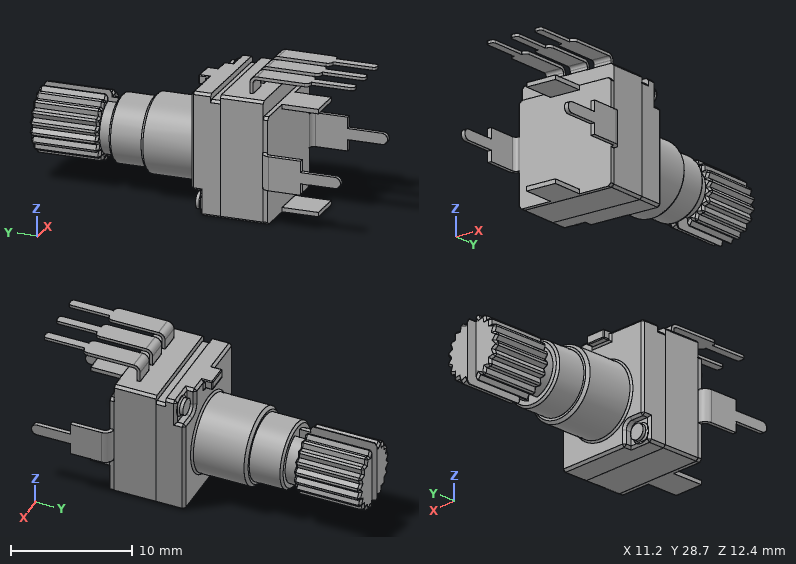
import cadquery as cq
import math


CASE_WIDTH = 9.6
CASE_TOP = 6.0
CASE_BOTTOM = -4.9
CASE_CHAMFER = 0.23
HOUSING_DEPTH = 2.6
CASE_DEPTH = 6.4

GROOVE_START = 1.75
GROOVE_DROP = 0.52

ROOT_FLARE = 0.17
KEY_FLARE_SHARE = 0.99

POCKET_WIDTH = 2.18
POCKET_DEPTH = 0.77
POCKET_CORNER_RADIUS = 0.7
POST_DIAMETER = 1.5
POST_INSET = 1.0
POST_FRONT_DEPTH = 0.3

KEY_WIDTH = 2.0
KEY_THICKNESS = 0.83
KEY_HEIGHT = 0.8
KEY_ROOT = 0.25
KEY_CHAMFER = 0.1

BUSHING_DIAMETER = 6.93
BUSHING_HEIGHT = 5.0
BUSHING_CHAMFER = 0.25

SHAFT_DIAMETER = 6.0
SHAFT_SHOULDER = 8.0
SHAFT_CHAMFER = 0.2
NECK_DIAMETER = 4.78
KNURL_START = 9.0
SHAFT_TIP = 14.98
KNURL_COUNT = 20
KNURL_ROOT_RADIUS = 2.66
TOOTH_LAND_HALF_ANGLE = 2.2
SLOT_WIDTH = 1.0

SHEET = 0.4
BRACKET_TOP = 4.6
BRACKET_CHAMFER = 0.25
LUG_WIDTH = 3.0
LUG_END = 10.0
LEG_SPAN = 11.2
LEG_OUTER_X = LEG_SPAN / 2
LEG_BEND_RADIUS = 0.77
LEG_PIN_WIDTH = 1.0
LEG_END = 13.52

TOTAL_LENGTH = 28.65
TERMINAL_COUNT = 3
TERMINAL_PITCH = 2.5
TERMINAL_THICKNESS = 0.3
TERMINAL_WIDTH = 1.8
TERMINAL_TOP = 7.5
TERMINAL_START = 4.67
TERMINAL_BEND_RADIUS = 0.6
TERMINAL_SHOULDER = 9.9
TERMINAL_SHOULDER_RADIUS = 0.43
TERMINAL_PIN_WIDTH = 0.8
TERMINAL_TIP_RADIUS = 0.25
TERMINAL_END = TOTAL_LENGTH - SHAFT_TIP


def slab(width, bottom, top, start, end):
    """Block centred on X = 0 that spans two Z levels and two depths."""
    block = cq.Workplane("XY").box(width, end - start, top - bottom, centered=(True, False, False))
    return block.translate((0, -end, bottom))


def revolved(profile):
    """Solid turned about the Y axis from (radius, height) points."""
    return cq.Workplane("XY").polyline(profile).close().revolve(360, (0, 0), (0, 1))


def turned_half(shape):
    """The shape turned half a revolution about the middle of the case."""
    middle = (CASE_TOP + CASE_BOTTOM) / 2
    return shape.rotate((0, 0, middle), (0, 1, middle), 180)


def corner_pocket():
    """Cutter for the pocket in the +X, +Z corner, with a rounded inner corner."""
    return (
        cq.Workplane("XZ")
        .rect(2 * POCKET_WIDTH, 2 * POCKET_WIDTH)
        .extrude(POCKET_DEPTH)
        .edges("|Y")
        .fillet(POCKET_CORNER_RADIUS)
        .translate((CASE_WIDTH / 2, 0, CASE_TOP))
    )


def corner_post():
    """Post with a flared foot that stands on the floor of the corner pocket."""
    radius = POST_DIAMETER / 2
    profile = [
        (0, -POCKET_DEPTH),
        (radius + ROOT_FLARE, -POCKET_DEPTH),
        (radius, ROOT_FLARE - POCKET_DEPTH),
        (radius, -POST_FRONT_DEPTH),
        (0, -POST_FRONT_DEPTH),
    ]
    return revolved(profile).translate((CASE_WIDTH / 2 - POST_INSET, 0, CASE_TOP - POST_INSET))


def make_key():
    """Bar with chamfered edges on a flared foot."""
    bottom = CASE_TOP - KEY_THICKNESS
    bar = (
        slab(KEY_WIDTH, bottom, CASE_TOP, -KEY_HEIGHT, KEY_ROOT)
        .faces("not <Y")
        .edges("not <Y")
        .chamfer(KEY_CHAMFER)
    )
    foot = (
        slab(KEY_WIDTH + 2 * ROOT_FLARE, bottom - ROOT_FLARE, CASE_TOP - CASE_CHAMFER, -ROOT_FLARE, 0)
        .faces(">Y")
        .edges("not >Z")
        .chamfer(KEY_FLARE_SHARE * ROOT_FLARE)
    )
    return bar.union(foot)


def make_bushing():
    """Sleeve around the shaft, flared at its root and chamfered at its end."""
    radius = BUSHING_DIAMETER / 2
    bore = SHAFT_DIAMETER / 2
    return revolved(
        [
            (bore, 0),
            (radius + ROOT_FLARE, 0),
            (radius, ROOT_FLARE),
            (radius, BUSHING_HEIGHT - BUSHING_CHAMFER),
            (radius - BUSHING_CHAMFER, BUSHING_HEIGHT),
            (bore, BUSHING_HEIGHT),
        ]
    )


def make_housing():
    """Front part of the case with its pockets, posts, groove, key and bushing."""
    pocket = corner_pocket()
    post = corner_post()
    front = (
        slab(CASE_WIDTH, CASE_BOTTOM, CASE_TOP, 0, GROOVE_START)
        .cut(pocket)
        .cut(turned_half(pocket))
        .faces(">X or <X or >Z or <Z or >Y")
        .edges("not <Y")
        .chamfer(CASE_CHAMFER)
    )
    grooved = (
        slab(CASE_WIDTH, CASE_BOTTOM, CASE_TOP - GROOVE_DROP, GROOVE_START, HOUSING_DEPTH)
        .edges("|Y")
        .chamfer(CASE_CHAMFER)
    )
    return front.union(grooved).union(post).union(turned_half(post)).union(make_key()).union(make_bushing())


def make_cover():
    """Rear part of the case."""
    return slab(CASE_WIDTH, CASE_BOTTOM, CASE_TOP, HOUSING_DEPTH, CASE_DEPTH).edges("|Y").chamfer(CASE_CHAMFER)


def make_knurl():
    """Toothed prism with flat tooth lands and V roots, chamfered around both ends."""
    pitch = math.radians(360 / KNURL_COUNT)
    land = math.radians(TOOTH_LAND_HALF_ANGLE)
    outline = []
    for index in range(KNURL_COUNT):
        root_angle = index * pitch
        tooth_angle = root_angle + pitch / 2
        for radius, angle in (
            (KNURL_ROOT_RADIUS, root_angle),
            (SHAFT_DIAMETER / 2, tooth_angle - land),
            (SHAFT_DIAMETER / 2, tooth_angle + land),
        ):
            outline.append((radius * math.sin(angle), radius * math.cos(angle)))
    return (
        cq.Workplane("XZ", origin=(0, SHAFT_TIP, 0))
        .polyline(outline)
        .close()
        .extrude(SHAFT_TIP - KNURL_START)
        .faces("<Y or >Y")
        .chamfer(SHAFT_CHAMFER)
    )


def make_shaft():
    """Stem with a shoulder and a neck, and a slotted knurl at the tip."""
    radius = SHAFT_DIAMETER / 2
    stem = revolved(
        [
            (0, 0),
            (radius, 0),
            (radius, SHAFT_SHOULDER - SHAFT_CHAMFER),
            (radius - SHAFT_CHAMFER, SHAFT_SHOULDER),
            (NECK_DIAMETER / 2, SHAFT_SHOULDER),
            (NECK_DIAMETER / 2, KNURL_START),
            (0, KNURL_START),
        ]
    )
    slot = slab(SLOT_WIDTH, -radius, radius, -SHAFT_TIP, -SHAFT_SHOULDER)
    return stem.union(make_knurl()).cut(slot)


def make_leg():
    """Leg on the +X side: bent back from the plate, then narrowed to a round-ended pin."""
    plate_edge = CASE_WIDTH / 2
    inner_radius = LEG_BEND_RADIUS - SHEET
    inner_x = LEG_OUTER_X - SHEET
    strip = (
        cq.Workplane("XY")
        .moveTo(plate_edge, -CASE_DEPTH)
        .lineTo(LEG_OUTER_X - LEG_BEND_RADIUS, -CASE_DEPTH)
        .radiusArc((LEG_OUTER_X, -CASE_DEPTH - LEG_BEND_RADIUS), LEG_BEND_RADIUS)
        .lineTo(LEG_OUTER_X, -LEG_END)
        .lineTo(inner_x, -LEG_END)
        .lineTo(inner_x, -CASE_DEPTH - LEG_BEND_RADIUS)
        .radiusArc((inner_x - inner_radius, -CASE_DEPTH - SHEET), -inner_radius)
        .lineTo(plate_edge, -CASE_DEPTH - SHEET)
        .close()
        .extrude(LUG_WIDTH / 2, both=True)
    )
    pin_radius = LEG_PIN_WIDTH / 2
    outline = (
        cq.Workplane("YZ")
        .moveTo(-CASE_DEPTH, -LUG_WIDTH / 2)
        .lineTo(-LUG_END, -LUG_WIDTH / 2)
        .lineTo(-LUG_END, -pin_radius)
        .lineTo(-LEG_END + pin_radius, -pin_radius)
        .threePointArc((-LEG_END, 0), (-LEG_END + pin_radius, pin_radius))
        .lineTo(-LUG_END, pin_radius)
        .lineTo(-LUG_END, LUG_WIDTH / 2)
        .lineTo(-CASE_DEPTH, LUG_WIDTH / 2)
        .close()
        .extrude(LEG_OUTER_X)
    )
    return strip.intersect(outline)


def make_bracket():
    """Plate behind the cover with a lug above and below and a leg on each side."""
    plate_end = CASE_DEPTH + SHEET
    plate = slab(CASE_WIDTH, CASE_BOTTOM, BRACKET_TOP, CASE_DEPTH, plate_end).edges("|Y").chamfer(BRACKET_CHAMFER)
    top_lug = slab(LUG_WIDTH, BRACKET_TOP - SHEET, BRACKET_TOP, CASE_DEPTH, LUG_END)
    bottom_lug = slab(LUG_WIDTH, CASE_BOTTOM, CASE_BOTTOM + SHEET, CASE_DEPTH, LUG_END)
    leg = make_leg()
    return plate.union(top_lug).union(bottom_lug).union(leg).union(leg.mirror("YZ"))


def make_terminal(x):
    """Terminal that rises from the cover, bends back and narrows to a pin."""
    inner_radius = TERMINAL_BEND_RADIUS - TERMINAL_THICKNESS
    bend_depth = TERMINAL_START + TERMINAL_BEND_RADIUS
    inner_z = TERMINAL_TOP - TERMINAL_THICKNESS
    strip = (
        cq.Workplane("YZ")
        .moveTo(-TERMINAL_START, CASE_TOP)
        .lineTo(-TERMINAL_START, TERMINAL_TOP - TERMINAL_BEND_RADIUS)
        .radiusArc((-bend_depth, TERMINAL_TOP), -TERMINAL_BEND_RADIUS)
        .lineTo(-TERMINAL_END, TERMINAL_TOP)
        .lineTo(-TERMINAL_END, inner_z)
        .lineTo(-bend_depth, inner_z)
        .radiusArc((-TERMINAL_START - TERMINAL_THICKNESS, inner_z - inner_radius), inner_radius)
        .lineTo(-TERMINAL_START - TERMINAL_THICKNESS, CASE_TOP)
        .close()
        .extrude(TERMINAL_WIDTH / 2, both=True)
    )
    blade = (
        slab(TERMINAL_WIDTH, CASE_TOP, TERMINAL_TOP, TERMINAL_START, TERMINAL_SHOULDER)
        .edges("|Z and <Y")
        .fillet(TERMINAL_SHOULDER_RADIUS)
    )
    pin = (
        slab(TERMINAL_PIN_WIDTH, CASE_TOP, TERMINAL_TOP, TERMINAL_START, TERMINAL_END)
        .edges("|Z and <Y")
        .fillet(TERMINAL_TIP_RADIUS)
    )
    return strip.intersect(blade.union(pin)).translate((x, 0, 0))


housing = make_housing()
cover = make_cover()
shaft = make_shaft()
bracket = make_bracket()
terminals = [
    make_terminal((index - (TERMINAL_COUNT - 1) / 2) * TERMINAL_PITCH) for index in range(TERMINAL_COUNT)
]

result = cq.Compound.makeCompound(
    [housing.val(), cover.val(), shaft.val(), bracket.val(), *[terminal.val() for terminal in terminals]]
)